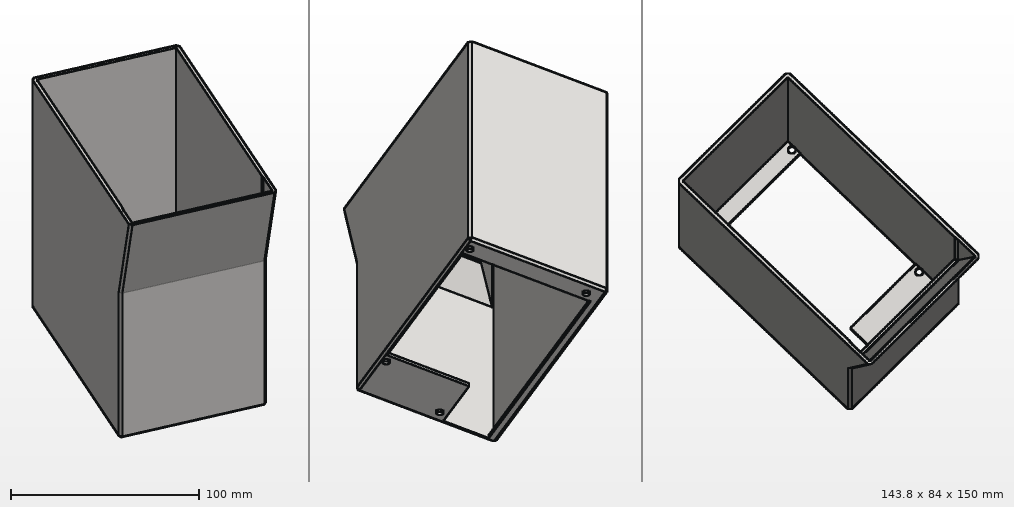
import cadquery as cq

body_length = 129.0
top_length = 143.8
width = 84.0
height = 150.0
flare_start = 95.4
edge_chamfer = 1.5

wall = 2.2
ledge_side_wall = 2.1
rim_wall = 2.0
floor_thickness = 2.2
ledge_width = 2.1
ledge_height = 100.2
ledge_riser = 2.2
rim_band = 2.2
rim_overhang = 0.5

opening_left = 11.5
opening_front = 5.1
pad_left = 97.5
pad_front = 32.4

hole_diameter = 4.0
left_hole_x = 7.0
front_hole_y = 9.9
back_hole_y = front_hole_y + 70.0
hole_centers = [
    (left_hole_x, front_hole_y),
    (left_hole_x, back_hole_y),
    (102.0, back_hole_y),
    (122.0, 37.0),
]

cavity_right = body_length - wall
cavity_back = width - wall


def side_prism(points, front, back):
    """Extrude an XZ outline along Y from front to back."""
    outline = cq.Workplane("XZ", origin=(0, front, 0)).polyline(points).close()
    return outline.extrude(front - back)


def block(left, front, bottom, right, back, top):
    """Box given by its two opposite corners."""
    size = (right - left, back - front, top - bottom)
    return cq.Workplane("XY").box(*size, centered=False).translate((left, front, bottom))


def outer_body():
    body = side_prism(
        [
            (0, 0),
            (body_length, 0),
            (body_length, flare_start),
            (top_length, height),
            (0, height),
        ],
        0,
        width,
    )
    edges = body.faces("<Y or >Y or <Z").edges("not >Z")
    return edges.chamfer(edge_chamfer)


def cavity_slice(points, side_wall):
    """Part of the cavity that leaves side_wall at the front and back."""
    return side_prism(points, side_wall, width - side_wall)


def cavity():
    main_hollow = cavity_slice(
        [
            (wall, floor_thickness),
            (cavity_right, floor_thickness),
            (cavity_right, height),
            (wall, height),
        ],
        wall,
    )
    ledge_right = cavity_right + ledge_width
    ledge_hollow = cavity_slice(
        [
            (cavity_right, ledge_height),
            (ledge_right, ledge_height),
            (ledge_right, height),
            (cavity_right, height),
        ],
        ledge_side_wall,
    )
    rim_right = top_length - rim_wall
    flare_hollow = cavity_slice(
        [
            (ledge_right, ledge_height + ledge_riser),
            (rim_right - rim_overhang, height - rim_band),
            (rim_right, height - rim_band),
            (rim_right, height),
            (ledge_right, height),
        ],
        rim_wall,
    )
    return main_hollow.union(ledge_hollow).union(flare_hollow)


def floor_opening():
    opening = block(opening_left, opening_front, 0, cavity_right, cavity_back, floor_thickness)
    pad = block(pad_left, pad_front, 0, cavity_right, cavity_back, floor_thickness)
    return opening.cut(pad)


def mounting_holes():
    holes = cq.Workplane("XY").pushPoints(hole_centers).circle(hole_diameter / 2)
    return holes.extrude(floor_thickness)


result = outer_body().cut(cavity()).cut(floor_opening()).cut(mounting_holes())